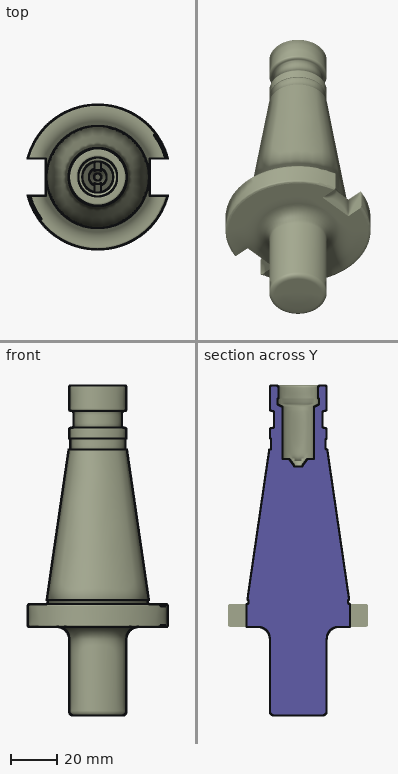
import cadquery as cq
import math

total_length = 143.4
flange_bottom = 38.5
flange_thickness = 10.0
flange_top = flange_bottom + flange_thickness
neck_height = 1.7
taper_bottom = flange_top + neck_height
taper_top = 115.6
land_bottom = 120.3
land_top = 125.0
cap_bottom = 132.2

shank_radius = 12.5
flange_radius = 63.0 / 2
neck_radius = 21.8
taper_large_radius = 22.2
taper_rate = 7 / 48
taper_small_radius = taper_large_radius - taper_rate * (taper_top - taper_bottom)
recess_radius = 12.0
groove_radius = 10.6

edge_round = 1.0
land_round = 1.0
groove_root_round = 0.6
recess_root_round = 0.3
neck_root_round = 0.7
shank_end_round = 2.0
shank_root_round = 5.0

drive_slot_width = 16.0
drive_slot_distance = 22.7

mouth_round = 1.0
bore_radius = 8.5
undercut_top = total_length - 5.9
undercut_bottom = total_length - 8.2
undercut_depth = 0.5
undercut_radius = bore_radius + undercut_depth
thread_radius = 6.7
thread_start = total_length - 9.3
thread_floor = total_length - 32.0

floor_slot_width = 3.0
floor_slot_depth = 1.0
pilot_radius = 3.9
pilot_depth = 2.0
pilot_cone_radius = 2.3
pilot_tip_radius = 1.6
pilot_cone_depth = 1.1


def rounded_corner(before, corner, after, radius):
    """Start, middle and end of the arc that rounds a corner of an outline."""
    to_before = (cq.Vector(*before) - cq.Vector(*corner)).normalized()
    to_after = (cq.Vector(*after) - cq.Vector(*corner)).normalized()
    half_angle = to_before.getAngle(to_after) / 2
    setback = radius / math.tan(half_angle)
    middle_distance = radius / math.sin(half_angle) - radius
    bisector = (to_before + to_after).normalized()
    offsets = (to_before * setback, bisector * middle_distance, to_after * setback)
    return [(corner[0] + offset.x, corner[1] + offset.y) for offset in offsets]


def revolve_outline(corners):
    """Turn a closed outline of (radius, height, rounding) corners about the Z axis."""
    points = [(radius, height) for radius, height, _ in corners]
    profile = cq.Workplane("XZ").moveTo(*points[0])
    for index in range(1, len(corners)):
        rounding = corners[index][2]
        if rounding == 0:
            profile = profile.lineTo(*points[index])
            continue
        next_point = points[(index + 1) % len(points)]
        start, middle, end = rounded_corner(points[index - 1], points[index], next_point, rounding)
        profile = profile.lineTo(*start).threePointArc(middle, end)
    return profile.close().revolve(360, (0, 0, 0), (0, 1, 0))


def make_body():
    """Shank, flange, taper and the stepped end above it."""
    return revolve_outline([
        (0, 0, 0),
        (shank_radius, 0, shank_end_round),
        (shank_radius, flange_bottom, shank_root_round),
        (flange_radius, flange_bottom, edge_round),
        (flange_radius, flange_top, edge_round),
        (neck_radius, flange_top, neck_root_round),
        (neck_radius, taper_bottom, 0),
        (taper_large_radius, taper_bottom, 0),
        (taper_small_radius, taper_top, 0),
        (recess_radius, taper_top, recess_root_round),
        (recess_radius, land_bottom, recess_root_round),
        (shank_radius, land_bottom, 0),
        (shank_radius, land_top, land_round),
        (groove_radius, land_top, groove_root_round),
        (groove_radius, cap_bottom, groove_root_round),
        (shank_radius, cap_bottom, edge_round),
        (shank_radius, total_length, edge_round),
        (0, total_length, 0),
    ])


def make_bore():
    """Counterbore with a relief groove, tapering into the threaded hole and its pilot."""
    pilot_bottom = thread_floor - pilot_depth
    pilot_tip = pilot_bottom - pilot_cone_depth
    return revolve_outline([
        (0, total_length, 0),
        (bore_radius, total_length, 0),
        (bore_radius, undercut_top, 0),
        (undercut_radius, undercut_top, 0),
        (undercut_radius, undercut_bottom, 0),
        (thread_radius, thread_start, 0),
        (thread_radius, thread_floor, 0),
        (pilot_radius, thread_floor, 0),
        (pilot_cone_radius, pilot_bottom, 0),
        (pilot_tip_radius, pilot_tip, 0),
        (0, pilot_tip, 0),
    ])


def make_floor_slot():
    """Slot across the bore floor along Y, ending at the bore wall."""
    slot = cq.Workplane("XY").box(
        floor_slot_width, 2 * thread_radius, floor_slot_depth, centered=(True, True, False)
    )
    bore_outline = cq.Workplane("XY").circle(thread_radius).extrude(floor_slot_depth)
    return slot.intersect(bore_outline).translate((0, 0, thread_floor - floor_slot_depth))


def make_drive_slot(side):
    """Open slot through the flange on the side given by the sign of X."""
    slot_length = flange_radius
    slot = cq.Workplane("XY").box(
        slot_length, drive_slot_width, flange_thickness, centered=(True, True, False)
    )
    return slot.translate((side * (drive_slot_distance + slot_length / 2), 0, flange_bottom))


def round_bore_mouth(body):
    """Round the inner edge of the top face."""
    mouth = cq.selectors.RadiusNthSelector(0)
    return body.faces(">Z").edges(mouth).fillet(mouth_round)


result = round_bore_mouth(make_body().cut(make_bore()))
result = result.cut(make_floor_slot())
for side in (-1, 1):
    result = result.cut(make_drive_slot(side))